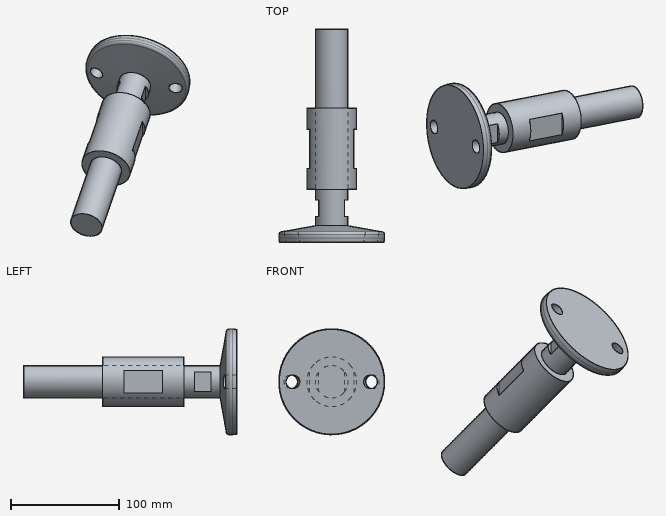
import cadquery as cq
import math

TOTAL_LENGTH = 197.0
FOOT_Y = -TOTAL_LENGTH / 2

FOOT_RADIUS = 97.98 / 2
FACE_INSET = 0.55
FACE_RADIUS = FOOT_RADIUS - FACE_INSET
LOWER_RIM_HEIGHT = 4.1
RIM_HEIGHT = 7.1
EDGE_RADIUS = 2.8
CONE_SLOPE = math.radians(10.0)

SPINDLE_RADIUS = 30.0 / 2

ARC_CENTER_X = FOOT_RADIUS - EDGE_RADIUS
CONE_TOP_HEIGHT = (
    RIM_HEIGHT + EDGE_RADIUS / math.cos(CONE_SLOPE) + (ARC_CENTER_X - SPINDLE_RADIUS) * math.tan(CONE_SLOPE)
)

SLEEVE_RADIUS = 46.0 / 2
SLEEVE_START = 49.0
SLEEVE_LENGTH = 75.0

SPINDLE_ACROSS_FLATS = 24.0
SPINDLE_FLAT_START = 24.0
SPINDLE_FLAT_LENGTH = 15.0
SLEEVE_ACROSS_FLATS = 41.0
SLEEVE_FLAT_LENGTH = 36.0

HOLE_DIAMETER = 12.5
HOLE_OFFSET = 35.75


def cylinder(radius, start, length):
    """Cylinder about the Y axis, starting at a height above the foot's flat face."""
    return cq.Workplane("XZ", origin=(0, FOOT_Y + start, 0)).circle(radius).extrude(-length)


def cut_wrench_flats(body, radius, across_flats, start, length):
    """Cut two opposite flats into a round body."""
    depth = radius - across_flats / 2
    middle = FOOT_Y + start + length / 2
    for side in (-1, 1):
        cutter = cq.Workplane("XY").box(depth, length, 2 * radius).translate(
            (side * (radius - depth / 2), middle, 0)
        )
        body = body.cut(cutter)
    return body


def make_foot_plate():
    """Flat-bottomed round plate that rises as a cone to the spindle."""
    arc_end = (
        ARC_CENTER_X + EDGE_RADIUS * math.sin(CONE_SLOPE),
        RIM_HEIGHT + EDGE_RADIUS * math.cos(CONE_SLOPE),
    )
    middle_angle = (math.pi / 2 - CONE_SLOPE) / 2
    arc_middle = (
        ARC_CENTER_X + EDGE_RADIUS * math.cos(middle_angle),
        RIM_HEIGHT + EDGE_RADIUS * math.sin(middle_angle),
    )
    return (
        cq.Workplane("XY", origin=(0, FOOT_Y, 0))
        .moveTo(0, 0)
        .lineTo(FACE_RADIUS, 0)
        .lineTo(FOOT_RADIUS, LOWER_RIM_HEIGHT)
        .lineTo(FOOT_RADIUS, RIM_HEIGHT)
        .threePointArc(arc_middle, arc_end)
        .lineTo(SPINDLE_RADIUS, CONE_TOP_HEIGHT)
        .lineTo(0, CONE_TOP_HEIGHT)
        .close()
        .revolve(360, (0, 0, 0), (0, 1, 0))
    )


def cut_bolt_holes(foot):
    """Drill the two bolt holes through the plate, square to its cone."""
    drill_length = 3 * CONE_TOP_HEIGHT
    for side in (-1, 1):
        axis = cq.Vector(side * math.sin(CONE_SLOPE), math.cos(CONE_SLOPE), 0)
        start = cq.Vector(side * HOLE_OFFSET, FOOT_Y, 0) - axis * CONE_TOP_HEIGHT
        hole = cq.Solid.makeCylinder(HOLE_DIAMETER / 2, drill_length, start, axis)
        foot = foot.cut(cq.Workplane(hole))
    return foot


def make_foot():
    """Foot plate and its long spindle in one piece."""
    spindle = cylinder(SPINDLE_RADIUS, 0, TOTAL_LENGTH)
    spindle = cut_wrench_flats(
        spindle, SPINDLE_RADIUS, SPINDLE_ACROSS_FLATS, SPINDLE_FLAT_START, SPINDLE_FLAT_LENGTH
    )
    return cut_bolt_holes(make_foot_plate().union(spindle))


def make_sleeve():
    """Thick sleeve around the spindle, with its wrench flats halfway along."""
    sleeve = cylinder(SLEEVE_RADIUS, SLEEVE_START, SLEEVE_LENGTH)
    sleeve = sleeve.cut(cylinder(SPINDLE_RADIUS, SLEEVE_START, SLEEVE_LENGTH))
    flat_start = SLEEVE_START + (SLEEVE_LENGTH - SLEEVE_FLAT_LENGTH) / 2
    return cut_wrench_flats(
        sleeve, SLEEVE_RADIUS, SLEEVE_ACROSS_FLATS, flat_start, SLEEVE_FLAT_LENGTH
    )


foot = make_foot()
sleeve = make_sleeve()
result = cq.Compound.makeCompound([foot.val(), sleeve.val()])